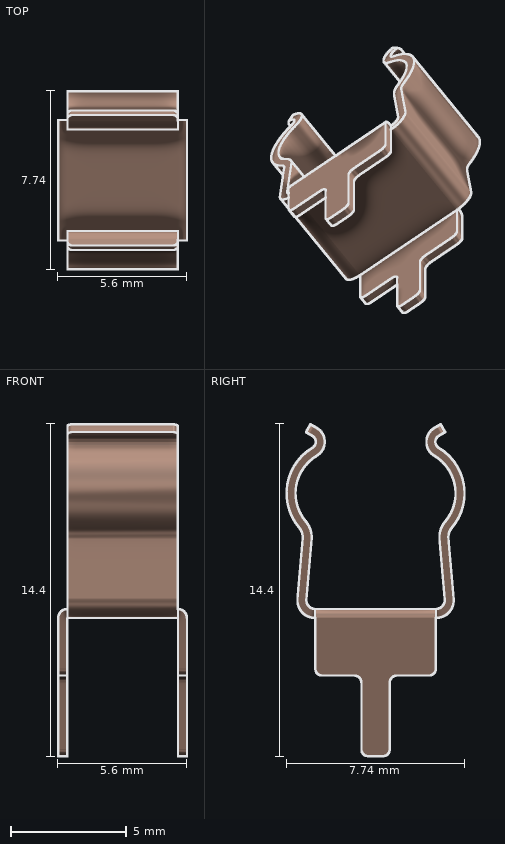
import cadquery as cq
import math


sheet = 0.4

base_width = 4.8
base_length = 5.24
base_bottom = 2.5

leg_width = 1.24
leg_length = 3.5
tab_corner_radius = 0.3
leg_root_radius = 0.3

foot_radius = 0.58
foot_angle = 95.0
wall_length = 2.614
neck_radius = 0.85
neck_angle = 45.4
seat_radius = 2.1
seat_angle = 99.6
lip_radius = 0.5
tip_angle = 30.0
tip_length = 0.32
tip_corner_radius = 0.2

seat_end_heading = foot_angle - neck_angle + seat_angle
lip_angle = seat_end_heading - tip_angle

arm_path = [
    (foot_radius, foot_angle),
    (wall_length,),
    (neck_radius, -neck_angle),
    (seat_radius, seat_angle),
    (lip_radius, -lip_angle),
    (tip_length,),
]


def beside(point, heading, distance):
    """Point at a distance to the left of the heading (degrees from +Y towards +Z)."""
    angle = math.radians(heading)
    return (point[0] - distance * math.sin(angle), point[1] + distance * math.cos(angle))


def ahead(point, heading, distance):
    """Point at a distance straight along the heading."""
    return beside(point, heading - 90.0, distance)


def follow_bend(point, heading, radius, turn):
    """Point and heading after bending along an arc by the signed turn."""
    signed_radius = math.copysign(radius, turn)
    center = beside(point, heading, signed_radius)
    new_heading = heading + turn
    return beside(center, new_heading, -signed_radius), new_heading


def draw_face(profile, stations, offset):
    """Draw one face of the sheet through the stations, offset from its middle."""
    for middle, heading, bend_middle in stations:
        target = beside(middle, heading, offset)
        if bend_middle is None:
            profile = profile.lineTo(*target)
        else:
            profile = profile.threePointArc(beside(*bend_middle, offset), target)
    return profile


def walk(path, point, heading):
    """Stations along the path: end point, end heading and the middle of the bend, if any."""
    stations = []
    for step in path:
        bend_middle = None
        if len(step) == 1:
            point = ahead(point, heading, step[0])
        else:
            radius, turn = step
            bend_middle = follow_bend(point, heading, radius, turn / 2)
            point, heading = follow_bend(point, heading, radius, turn)
        stations.append((point, heading, bend_middle))
    return stations


def backwards(stations, start, start_heading):
    """The same stations in reverse order, ending at the start of the path."""
    ends = [(start, start_heading)] + [(point, heading) for point, heading, _ in stations[:-1]]
    bends = [bend_middle for _, _, bend_middle in stations]
    return [(*end, bend) for end, bend in zip(reversed(ends), reversed(bends))]


def spring_arm():
    """Spring arm on the +Y side."""
    start = (base_length / 2, base_bottom + sheet / 2)
    start_heading = 0.0
    stations = walk(arm_path, start, start_heading)
    tip, tip_heading, _ = stations[-1]

    profile = cq.Workplane("YZ").moveTo(*beside(start, start_heading, -sheet / 2))
    profile = draw_face(profile, stations, -sheet / 2)
    profile = profile.lineTo(*beside(tip, tip_heading, sheet / 2))
    return_stations = backwards(stations, start, start_heading)
    profile = draw_face(profile, return_stations, sheet / 2)
    arm = profile.close().extrude(base_width / 2, both=True)

    for side in (-1, 1):
        corner = (side * base_width / 2, *tip)
        arm = arm.edges(cq.selectors.NearestToPointSelector(corner)).fillet(tip_corner_radius)
    return arm


def base_plate():
    """Flat plate between the arms and the tabs."""
    plate = cq.Workplane("XY").workplane(offset=base_bottom)
    return plate.rect(base_width, base_length).extrude(sheet)


def side_tab():
    """Tab on the +X side, bent down from the base, with a solder leg."""
    inner_x = base_width / 2
    outline = (
        cq.Workplane("YZ", origin=(inner_x, 0, 0))
        .moveTo(-base_length / 2, base_bottom)
        .lineTo(-base_length / 2, 0)
        .lineTo(-leg_width / 2, 0)
        .lineTo(-leg_width / 2, -leg_length)
        .lineTo(leg_width / 2, -leg_length)
        .lineTo(leg_width / 2, 0)
        .lineTo(base_length / 2, 0)
        .lineTo(base_length / 2, base_bottom)
        .close()
    )
    tab = outline.extrude(sheet)
    for side in (-1, 1):
        rounded_corners = [
            (side * base_length / 2, 0, tab_corner_radius),
            (side * leg_width / 2, -leg_length, tab_corner_radius),
            (side * leg_width / 2, 0, leg_root_radius),
        ]
        for y, z, radius in rounded_corners:
            corner = (inner_x + sheet / 2, y, z)
            tab = tab.edges(cq.selectors.NearestToPointSelector(corner)).fillet(radius)

    bend = (
        cq.Workplane("XZ", origin=(inner_x, 0, base_bottom))
        .moveTo(0, sheet)
        .radiusArc((sheet, 0), sheet)
        .lineTo(0, 0)
        .close()
        .extrude(base_length / 2, both=True)
    )
    return tab.union(bend)


arm = spring_arm()
tab = side_tab()
result = (
    base_plate()
    .union(arm)
    .union(arm.mirror("XZ"))
    .union(tab)
    .union(tab.mirror("YZ"))
)